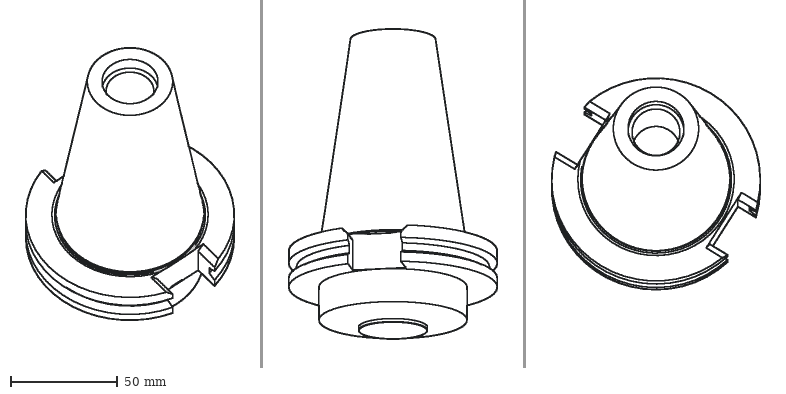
import cadquery as cq
import math

total_height = 141.6
collar_height = 1.7
nose_cone_top = 5.1
flange_bottom = 21.1
flange_top = 38.8
neck_top = 39.5
gauge_level = 40.1

collar_diameter = 32.4
collar_end_diameter = 32.0
body_diameter = 69.8
gauge_diameter = 69.8
neck_diameter = 69.2
taper_end_diameter = 40.2
flange_diameter = 98.3

groove_diameter = 90.9
groove_center = 29.2
groove_mouth = 7.1
groove_floor = 3.7

recess_diameter = 73.6
recess_floor_diameter = 71.1
recess_depth = 0.4

slot_width = 25.3
left_flat_distance = 37.5
right_flat_distance = 35.3
slot_chamfer = 3.1

counterbore_diameter = 26.3
counterbore_depth = 6.7
bore_diameter = 22.5
bore_depth = 42.5
bore_cone_angle = 140.0


def make_turned_body():
    """Revolve the half section of the holder about Z."""
    collar_chamfer = (collar_diameter - collar_end_diameter) / 2
    section = [
        (0, 0),
        (collar_end_diameter / 2, 0),
        (collar_diameter / 2, collar_chamfer),
        (collar_diameter / 2, collar_height),
        (body_diameter / 2, nose_cone_top),
        (body_diameter / 2, flange_bottom),
        (flange_diameter / 2, flange_bottom),
        (flange_diameter / 2, groove_center - groove_mouth / 2),
        (groove_diameter / 2, groove_center - groove_floor / 2),
        (groove_diameter / 2, groove_center + groove_floor / 2),
        (flange_diameter / 2, groove_center + groove_mouth / 2),
        (flange_diameter / 2, flange_top),
        (recess_diameter / 2, flange_top),
        (recess_floor_diameter / 2, flange_top - recess_depth),
        (neck_diameter / 2, flange_top - recess_depth),
        (neck_diameter / 2, neck_top),
        (gauge_diameter / 2, gauge_level),
        (taper_end_diameter / 2, total_height),
        (0, total_height),
    ]
    return cq.Workplane("XZ").polyline(section).close().revolve(360, (0, 0, 0), (0, 1, 0))


def make_bore():
    """Counterbored blind hole with a conical shoulder and a conical bottom."""
    bore_radius = bore_diameter / 2
    bore_floor = total_height - bore_depth
    cone_slope = 1 / math.tan(math.radians(bore_cone_angle / 2))
    shoulder_drop = (counterbore_diameter / 2 - bore_radius) * cone_slope
    shoulder_level = total_height - counterbore_depth
    section = [
        (0, total_height),
        (counterbore_diameter / 2, total_height),
        (counterbore_diameter / 2, shoulder_level),
        (bore_radius, shoulder_level - shoulder_drop),
        (bore_radius, bore_floor),
        (0, bore_floor - bore_radius * cone_slope),
    ]
    return cq.Workplane("XZ").polyline(section).close().revolve(360, (0, 0, 0), (0, 1, 0))


def make_drive_slot(side, flat_distance):
    """Flat-bottomed slot through the flange on one X side, flared at its top."""
    half_width = slot_width / 2
    mouth_half_width = half_width + slot_chamfer
    section = [
        (-half_width, flange_bottom),
        (half_width, flange_bottom),
        (half_width, flange_top - slot_chamfer),
        (mouth_half_width, flange_top),
        (-mouth_half_width, flange_top),
        (-half_width, flange_top - slot_chamfer),
    ]
    plane = cq.Workplane("YZ", origin=(side * flat_distance, 0, 0))
    return plane.polyline(section).close().extrude(side * flange_diameter / 2)


result = make_turned_body().cut(make_bore())
result = result.cut(make_drive_slot(-1, left_flat_distance))
result = result.cut(make_drive_slot(1, right_flat_distance))